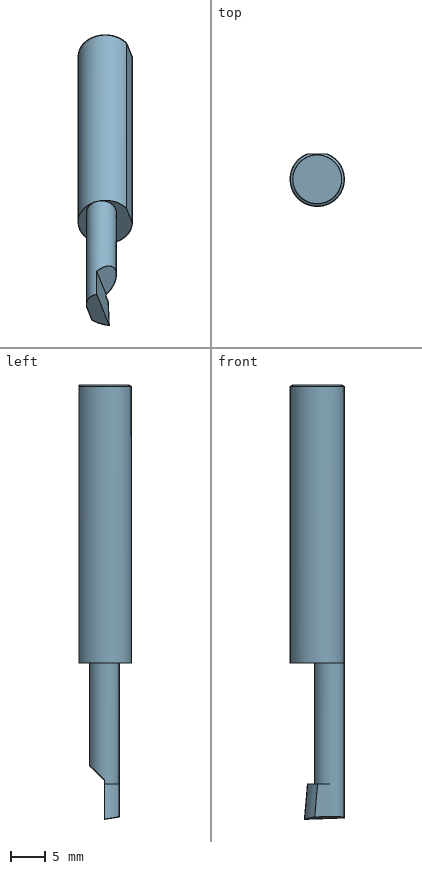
import cadquery as cq
import math

total_length = 63.5
neck_length = 22.86

shank_diameter = 7.94
shank_radius = shank_diameter / 2
flat_distance = 3.71
chamfer_radial = 0.4
chamfer_height = 0.25

neck_diameter = 4.4
neck_radius = neck_diameter / 2
neck_center_x = shank_radius - neck_radius

head_height = 5.2
tip_x = -1.88
heel_depth = 1.57
heel_width = neck_radius - heel_depth
flank_run = 0.85
flank_bulge = 0.09
side_clearance = 5.0

rake_height = 5.75
ramp_rise = 2.14

end_clearance_x = 2.0
end_clearance_y = 8.0


def tan_deg(angle):
    return math.tan(math.radians(angle))


def make_shank():
    """Chamfered cylinder with a full-length flat on the +Y side."""
    shank_length = total_length - neck_length
    shank = (
        cq.Workplane("XY")
        .workplane(offset=neck_length)
        .circle(shank_radius)
        .extrude(shank_length)
        .faces(">Z")
        .chamfer(chamfer_height, chamfer_radial)
    )
    flat_cut = (
        cq.Workplane("XY")
        .box(shank_diameter, shank_radius, total_length, centered=(True, False, False))
        .translate((0, flat_distance, 0))
    )
    return shank.cut(flat_cut)


def make_neck():
    """Offset cylinder carrying the cutting head."""
    return (
        cq.Workplane("XY")
        .center(neck_center_x, 0)
        .circle(neck_radius)
        .extrude(neck_length)
    )


def head_outline(z):
    """Head section at height z, shifted toward +X by the side clearance."""
    front_x = tip_x + z * tan_deg(side_clearance)
    heel_x = front_x + flank_run
    flank_chord = math.hypot(flank_run, heel_depth)
    flank_middle = (
        front_x + flank_run / 2 - flank_bulge * heel_depth / flank_chord,
        -heel_depth / 2 - flank_bulge * flank_run / flank_chord,
    )
    return (
        cq.Workplane("XY", origin=(0, 0, z))
        .moveTo(front_x, 0)
        .threePointArc(flank_middle, (heel_x, -heel_depth))
        .lineTo(heel_x + heel_width, -neck_radius)
        .lineTo(neck_center_x, -neck_radius)
        .lineTo(neck_center_x, 0)
        .close()
        .val()
    )


def make_head():
    """Half-depth cutting head leaning away from the tip."""
    return cq.Solid.makeLoft([head_outline(0), head_outline(head_height)], True)


def make_rake_cut():
    """Removes the +Y half of the neck, running out along a ramp."""
    reach = 2 * neck_radius
    return (
        cq.Workplane("YZ")
        .workplane(offset=-shank_diameter)
        .polyline(
            [
                (0, -neck_radius),
                (0, rake_height),
                (reach, rake_height + ramp_rise * reach / neck_radius),
                (reach, -neck_radius),
            ]
        )
        .close()
        .extrude(2 * shank_diameter)
    )


def make_end_cut():
    """Block below the end face, which passes through the tip."""
    normal = cq.Vector(-tan_deg(end_clearance_x), tan_deg(end_clearance_y), 1)
    along_x = cq.Vector(1, 0, tan_deg(end_clearance_x))
    end_plane = cq.Plane(origin=(tip_x, 0, 0), xDir=along_x, normal=normal)
    cut_size = 4 * shank_diameter
    return cq.Workplane(end_plane).rect(cut_size, cut_size).extrude(-shank_diameter)


result = (
    make_neck()
    .cut(make_rake_cut())
    .union(cq.Workplane(make_head()))
    .cut(make_end_cut())
    .union(make_shank())
)